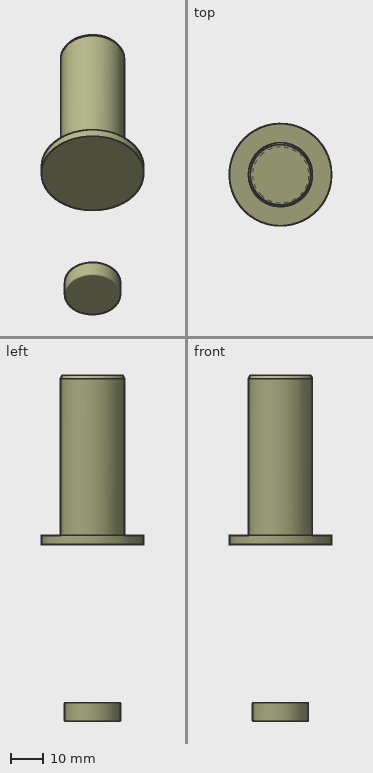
import cadquery as cq

total_height = 108.0

flange_diameter = 32.0
flange_thickness = 2.9
shank_diameter = 20.0
shank_length = 50.0
tip_chamfer_height = 1.1
tip_chamfer_inset = 0.59

disc_diameter = 17.5
disc_thickness = 5.8
disc_rim_radius = 0.4

flange_bottom = total_height - shank_length - flange_thickness


def make_pin():
    """Flanged pin with a steep chamfer around the tip of its shank."""
    flange_radius = flange_diameter / 2
    shank_radius = shank_diameter / 2
    flange_top = flange_bottom + flange_thickness
    return (
        cq.Workplane("XZ")
        .moveTo(0, flange_bottom)
        .lineTo(flange_radius, flange_bottom)
        .lineTo(flange_radius, flange_top)
        .lineTo(shank_radius, flange_top)
        .lineTo(shank_radius, total_height - tip_chamfer_height)
        .lineTo(shank_radius - tip_chamfer_inset, total_height)
        .lineTo(0, total_height)
        .close()
        .revolve(360, (0, 0, 0), (0, 1, 0))
    )


def make_disc():
    """Flat round disc with both rims rounded."""
    return (
        cq.Workplane("XY")
        .circle(disc_diameter / 2)
        .extrude(disc_thickness)
        .faces("<Z or >Z")
        .edges()
        .fillet(disc_rim_radius)
    )


pin = make_pin()
disc = make_disc()

result = cq.Compound.makeCompound([pin.val(), disc.val()])